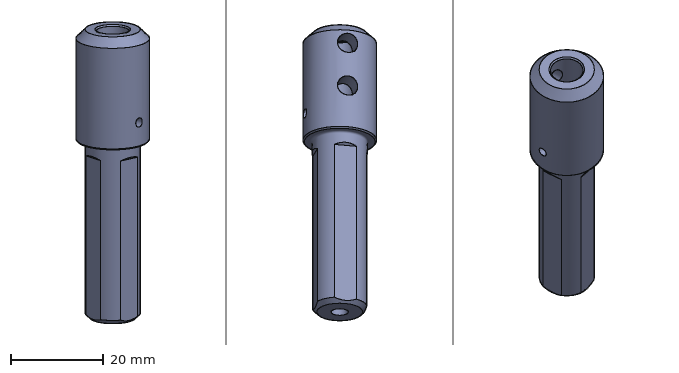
import cadquery as cq

total_length = 65.0
head_diameter = 16.0
head_length = 25.0
head_top_chamfer = 2.0
head_bottom_chamfer = 0.3

shank_diameter = 12.0
shank_end_chamfer = 1.05
neck_fillet = 0.45
flat_across = 11.0
flat_top = 36.9

bore_diameter = 7.0
bore_depth = 20.5
bore_chamfer = 0.3
through_diameter = 3.7

screw_hole_diameter = 4.5
screw_hole_depths = (5.0, 15.0)
sight_hole_diameter = 2.0
sight_hole_offset = 0.8
sight_hole_depth = 19.45

head_bottom = total_length - head_length
head_radius = head_diameter / 2
shank_radius = shank_diameter / 2


def make_body():
    """Turned outer shape with a filleted neck below the head."""
    return (
        cq.Workplane("XZ")
        .moveTo(0, 0)
        .lineTo(shank_radius - shank_end_chamfer, 0)
        .lineTo(shank_radius, shank_end_chamfer)
        .lineTo(shank_radius, head_bottom - neck_fillet)
        .radiusArc((shank_radius + neck_fillet, head_bottom), neck_fillet)
        .lineTo(head_radius - head_bottom_chamfer, head_bottom)
        .lineTo(head_radius, head_bottom + head_bottom_chamfer)
        .lineTo(head_radius, total_length - head_top_chamfer)
        .lineTo(head_radius - head_top_chamfer, total_length)
        .lineTo(0, total_length)
        .close()
        .revolve(360, (0, 0, 0), (0, 1, 0))
    )


def make_flat_cutter():
    """Material outside one flat on the +X side, with a 45 degree run-out at its top."""
    flat_distance = flat_across / 2
    return (
        cq.Workplane("XZ")
        .moveTo(flat_distance, 0)
        .lineTo(flat_distance, flat_top)
        .lineTo(shank_radius, flat_top + shank_radius - flat_distance)
        .lineTo(shank_radius, 0)
        .close()
        .extrude(shank_radius, both=True)
    )


def make_bore():
    """Chamfered blind bore from the top, continued by a smaller through hole."""
    top = cq.Workplane("XY").workplane(offset=total_length)
    bore = top.circle(bore_diameter / 2).extrude(-bore_depth)
    mouth = (
        top.circle(bore_diameter / 2 + bore_chamfer)
        .extrude(-bore_chamfer, taper=45)
    )
    through = cq.Workplane("XY").circle(through_diameter / 2).extrude(total_length)
    return bore.union(mouth).union(through)


def make_screw_hole(depth):
    """Radial hole from the +Y side into the bore, at a depth below the top face."""
    return (
        cq.Workplane("XZ")
        .center(0, total_length - depth)
        .circle(screw_hole_diameter / 2)
        .extrude(-head_diameter)
    )


def make_sight_hole():
    """Cross hole along X, set off the axis toward +Y."""
    return (
        cq.Workplane("YZ")
        .center(sight_hole_offset, total_length - sight_hole_depth)
        .circle(sight_hole_diameter / 2)
        .extrude(head_diameter, both=True)
    )


result = make_body()
for angle in (0, 90, 180, 270):
    result = result.cut(make_flat_cutter().rotate((0, 0, 0), (0, 0, 1), angle))
result = result.cut(make_bore())
for screw_depth in screw_hole_depths:
    result = result.cut(make_screw_hole(screw_depth))
result = result.cut(make_sight_hole())